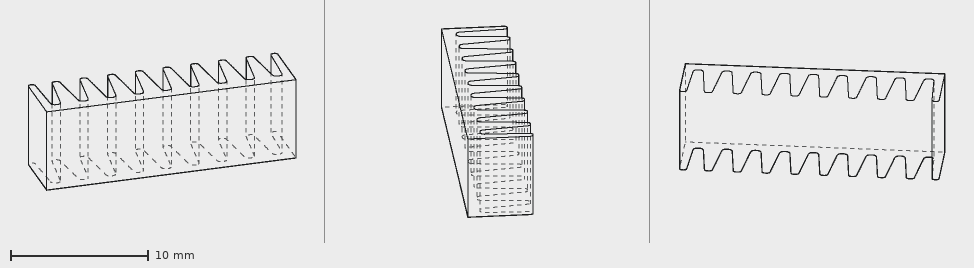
import cadquery as cq

depth = 4.8
length = 19.0
height = 6.3

fin_count = 10
base_thickness = 0.99
inner_tip_width = 0.55
inner_root_width = 1.42
end_tip_width = 0.51
end_root_width = 0.7
tip_radius = 0.25
root_radius = 0.32

fin_pitch = length / (fin_count - 1)
tip_x = -depth / 2
back_x = depth / 2
root_x = back_x - base_thickness
end_y = length / 2


def fin_edges(index):
    """Return the lower and upper (tip Y, root Y) pairs of a fin's flanks."""
    if index == 0:
        return (
            (-end_y, -end_y),
            (-end_y + end_tip_width, -end_y + end_root_width),
        )
    if index == fin_count - 1:
        return (
            (end_y - end_tip_width, end_y - end_root_width),
            (end_y, end_y),
        )
    center_y = -end_y + index * fin_pitch
    return (
        (center_y - inner_tip_width / 2, center_y - inner_root_width / 2),
        (center_y + inner_tip_width / 2, center_y + inner_root_width / 2),
    )


def comb_outline():
    """Trace the sharp-cornered comb from the flat back through every fin."""
    points = [(back_x, end_y), (back_x, -end_y)]
    for index in range(fin_count):
        (lower_tip, lower_root), (upper_tip, upper_root) = fin_edges(index)
        if index > 0:
            points.append((root_x, lower_root))
        points.append((tip_x, lower_tip))
        points.append((tip_x, upper_tip))
        if index < fin_count - 1:
            points.append((root_x, upper_root))
    return points


def edges_at(body, x):
    """Select the vertical edges lying in the plane at the given X."""
    margin = 0.02
    selector = cq.selectors.BoxSelector(
        (x - margin, -length, -height),
        (x + margin, length, height),
    )
    return body.edges("|Z").edges(selector)


heat_sink = cq.Workplane("XY").polyline(comb_outline()).close().extrude(height / 2, both=True)

heat_sink = edges_at(heat_sink, tip_x).fillet(tip_radius)
result = edges_at(heat_sink, root_x).fillet(root_radius)